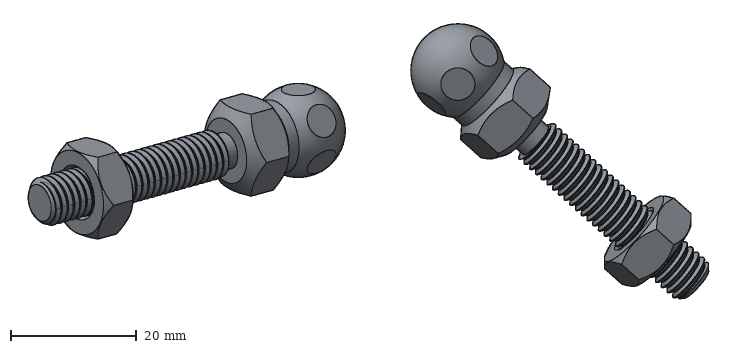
import cadquery as cq
import math

LENGTH = 59.5

ACROSS_FLATS = 14.0
CORNER_RADIUS = ACROSS_FLATS / 2 / math.cos(math.pi / 6)

BALL_RADIUS = 7.5
BALL_CENTRE = LENGTH - BALL_RADIUS
NECK_RADIUS = 6.0
NECK_TOP = BALL_CENTRE - math.sqrt(BALL_RADIUS**2 - NECK_RADIUS**2)

HEAD_BOTTOM = 37.5
HEAD_TOP = 45.5
HEAD_FACE_RADIUS = 5.35
HEAD_LOWER_CHAMFER = 1.9
HEAD_UPPER_CHAMFER = 1.65

SHANK_RADIUS = 3.005
THREAD_TURNS = 28
THREAD_PITCH = 1.25
THREAD_LENGTH = THREAD_TURNS * THREAD_PITCH
THREAD_RADIUS = 4.0
THREAD_DEPTH = 0.6
ROOT_RADIUS = THREAD_RADIUS - THREAD_DEPTH
CREST_WIDTH = 0.155
ROOT_WIDTH = 0.2
FLANK_WIDTH = (THREAD_PITCH - CREST_WIDTH - ROOT_WIDTH) / 2
SPARE_TURNS = 3
TIP_RADIUS = SHANK_RADIUS

NUT_BOTTOM = 7.5
NUT_HEIGHT = 6.0
NUT_FACE_RADIUS = 6.9
NUT_CHAMFER = 1.15
COUNTERSINK_RADIUS = 4.49


def revolve_about_y(profile):
    """Full turn about the Y axis of a closed profile drawn in the XY plane."""
    return profile.close().revolve(360, (0, 0, 0), (0, 1, 0))


def hex_prism(start, length):
    """Hexagonal prism along +Y from the given start."""
    return (
        cq.Workplane("XZ", origin=(0, start, 0))
        .polygon(6, 2 * CORNER_RADIUS)
        .extrude(-length)
    )


def helix_turn(radius, height):
    """One right-hand turn of a helix around Z, starting over the X axis at the given height."""
    turn = cq.Wire.makeHelix(THREAD_PITCH, THREAD_PITCH, radius)
    return turn.translate(cq.Vector(0, 0, height)).Edges()[0]


def raised(faces, height):
    """Copies of the faces moved up along Z."""
    return [face.translate(cq.Vector(0, 0, height)) for face in faces]


def endless_thread(start, turns):
    """Threaded bar around Z with helical ends, closed from one set of faces per turn."""
    crest_start = ROOT_WIDTH + FLANK_WIDTH
    tooth = [
        (ROOT_RADIUS, 0),
        (ROOT_RADIUS, ROOT_WIDTH),
        (THREAD_RADIUS, crest_start),
        (THREAD_RADIUS, crest_start + CREST_WIDTH),
        (ROOT_RADIUS, THREAD_PITCH),
    ]
    turn_faces = [
        cq.Face.makeRuledSurface(helix_turn(*lower), helix_turn(*upper))
        for lower, upper in zip(tooth, tooth[1:])
    ]

    axis_bottom = cq.Vector(0, 0, 0)
    axis_top = cq.Vector(0, 0, THREAD_PITCH)
    ramp = cq.Face.makeRuledSurface(cq.Edge.makeLine(axis_bottom, axis_top), helix_turn(ROOT_RADIUS, 0))
    tooth_points = [cq.Vector(radius, 0, height) for radius, height in tooth]
    step_outline = cq.Wire.makePolygon([axis_bottom, *tooth_points, axis_top], close=True)
    end_faces = [ramp, cq.Face.makeFromWires(step_outline)]

    faces = raised(end_faces, start) + raised(end_faces, start + turns * THREAD_PITCH)
    for turn in range(turns):
        faces += raised(turn_faces, start + turn * THREAD_PITCH)
    return cq.Workplane(obj=cq.Solid.makeSolid(cq.Shell.makeShell(faces)))


def threaded_rod():
    """Right-hand threaded rod along Y, coned at 45 degrees at the tip and cut flat at the far end."""
    thread_start = -(ROOT_WIDTH + THREAD_PITCH) / 2 - THREAD_PITCH
    thread = endless_thread(thread_start, THREAD_TURNS + SPARE_TURNS)
    tip_cone = (
        cq.Workplane("XY")
        .lineTo(TIP_RADIUS, 0)
        .lineTo(TIP_RADIUS + THREAD_LENGTH, THREAD_LENGTH)
        .lineTo(0, THREAD_LENGTH)
    )
    return thread.rotate((0, 0, 0), (1, 0, 0), -90).intersect(revolve_about_y(tip_cone))


def shank_head_and_ball():
    """Round upper part of the stud, trimmed by the hexagon that forms the head and the flats on the ball."""
    arc_end_angle = math.asin((NECK_TOP - BALL_CENTRE) / BALL_RADIUS)
    arc_mid_angle = (math.pi / 2 + arc_end_angle) / 2
    arc_mid_x = BALL_RADIUS * math.cos(arc_mid_angle)
    arc_mid_y = BALL_CENTRE + BALL_RADIUS * math.sin(arc_mid_angle)
    profile = (
        cq.Workplane("XY")
        .moveTo(0, THREAD_LENGTH)
        .lineTo(SHANK_RADIUS, THREAD_LENGTH)
        .lineTo(SHANK_RADIUS, HEAD_BOTTOM)
        .lineTo(HEAD_FACE_RADIUS, HEAD_BOTTOM)
        .lineTo(CORNER_RADIUS, HEAD_BOTTOM + HEAD_LOWER_CHAMFER)
        .lineTo(CORNER_RADIUS, HEAD_TOP - HEAD_UPPER_CHAMFER)
        .lineTo(NECK_RADIUS, HEAD_TOP)
        .lineTo(NECK_RADIUS, NECK_TOP)
        .threePointArc((arc_mid_x, arc_mid_y), (0, LENGTH))
    )
    return revolve_about_y(profile).intersect(hex_prism(THREAD_LENGTH, LENGTH - THREAD_LENGTH))


def make_stud():
    """Ball stud as one solid, from the threaded tip to the ball."""
    return threaded_rod().union(shank_head_and_ball())


def make_nut():
    """Hexagonal nut, chamfered and countersunk on both faces, with a plain bore around the thread crests."""
    nut_top = NUT_BOTTOM + NUT_HEIGHT
    envelope = (
        cq.Workplane("XY")
        .moveTo(0, NUT_BOTTOM)
        .lineTo(NUT_FACE_RADIUS, NUT_BOTTOM)
        .lineTo(CORNER_RADIUS, NUT_BOTTOM + NUT_CHAMFER)
        .lineTo(CORNER_RADIUS, nut_top - NUT_CHAMFER)
        .lineTo(NUT_FACE_RADIUS, nut_top)
        .lineTo(0, nut_top)
    )
    sink_depth = COUNTERSINK_RADIUS - THREAD_RADIUS
    bore = (
        cq.Workplane("XY")
        .moveTo(0, NUT_BOTTOM)
        .lineTo(COUNTERSINK_RADIUS, NUT_BOTTOM)
        .lineTo(THREAD_RADIUS, NUT_BOTTOM + sink_depth)
        .lineTo(THREAD_RADIUS, nut_top - sink_depth)
        .lineTo(COUNTERSINK_RADIUS, nut_top)
        .lineTo(0, nut_top)
    )
    blank = revolve_about_y(envelope).intersect(hex_prism(NUT_BOTTOM, NUT_HEIGHT))
    return blank.cut(revolve_about_y(bore))


stud = make_stud()
nut = make_nut()

result = cq.Compound.makeCompound([stud.val(), nut.val()])